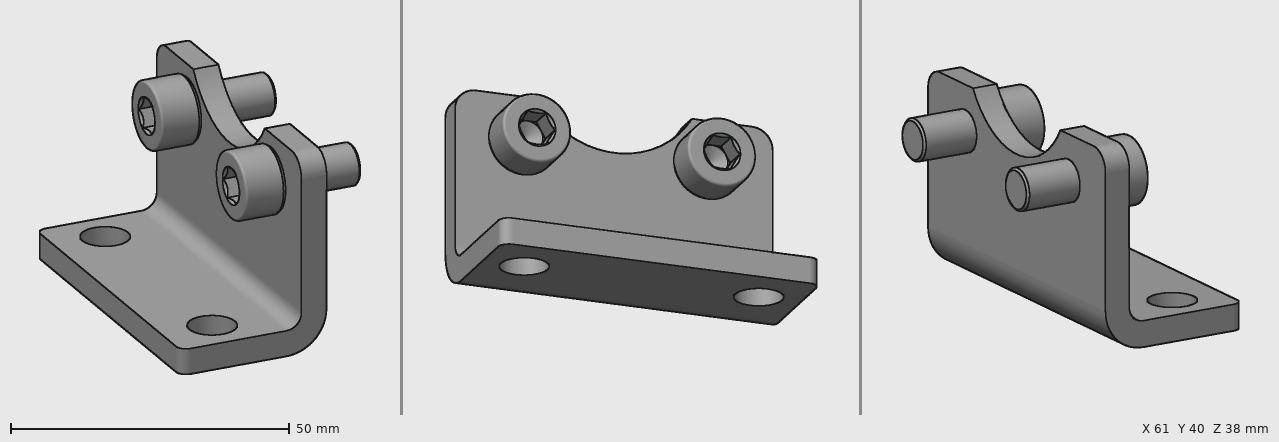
import cadquery as cq
import math

width = 61.0
height = 38.0
foot_reach = 29.0
thickness = 5.0
inner_bend_radius = 3.0
outer_bend_radius = inner_bend_radius + thickness
wall_corner_radius = 4.0
foot_corner_radius = 2.0

relief_radius = 17.5
relief_depth = 8.5

foot_hole_diameter = 9.0
foot_hole_spacing = 45.0
foot_hole_from_edge = 10.0

screw_spacing = 35.5
screw_height = height - 8.7
shank_diameter = 8.0
shank_projection = 11.05
shank_length = thickness + shank_projection
shank_chamfer = 0.4
head_diameter = 13.0
head_length = 8.0
head_edge_radius = 0.5
seat_diameter = 12.2
seat_chamfer_length = 0.6

socket_across_flats = 6.0
socket_across_corners = socket_across_flats / math.cos(math.pi / 6)
socket_depth = 5.0
socket_mouth_diameter = 7.1
socket_mouth_angle = 90.0
socket_tip_angle = 120.0


def pair_positions(spacing):
    """X positions of two features placed symmetrically about X = 0."""
    return [-spacing / 2, spacing / 2]


def make_bracket():
    """Bent plate with a rounded wall, a round relief and two foot holes."""
    profile = (
        cq.Workplane("YZ")
        .moveTo(0, height)
        .lineTo(0, outer_bend_radius)
        .radiusArc((-outer_bend_radius, 0), outer_bend_radius)
        .lineTo(-foot_reach, 0)
        .lineTo(-foot_reach, thickness)
        .lineTo(-outer_bend_radius, thickness)
        .radiusArc((-thickness, outer_bend_radius), -inner_bend_radius)
        .lineTo(-thickness, height)
        .close()
    )
    bracket = profile.extrude(width / 2, both=True)
    bracket = bracket.edges("|Y and >Z").fillet(wall_corner_radius)
    bracket = bracket.edges("|Z and <Y").fillet(foot_corner_radius)

    relief = (
        cq.Workplane("XZ")
        .center(0, height - relief_depth + relief_radius)
        .circle(relief_radius)
        .extrude(thickness)
    )
    screw_holes = (
        cq.Workplane("XZ")
        .pushPoints([(x, screw_height) for x in pair_positions(screw_spacing)])
        .circle(shank_diameter / 2)
        .extrude(thickness)
    )
    foot_hole_y = foot_hole_from_edge - foot_reach
    foot_holes = (
        cq.Workplane("XY")
        .pushPoints([(x, foot_hole_y) for x in pair_positions(foot_hole_spacing)])
        .circle(foot_hole_diameter / 2)
        .extrude(thickness)
    )
    return bracket.cut(relief).cut(screw_holes).cut(foot_holes)


def cone(large_diameter, small_diameter, length, start):
    """Cone or frustum along +Y that narrows from its start."""
    return cq.Workplane(
        cq.Solid.makeCone(
            large_diameter / 2, small_diameter / 2, length, cq.Vector(0, start, 0), cq.Vector(0, 1, 0)
        )
    )


def make_socket(mouth):
    """Hexagonal recess from Y = mouth, with a conical bottom and a countersunk mouth."""
    hexagon = (
        cq.Workplane("XZ", origin=(0, mouth, 0))
        .polygon(6, socket_across_corners)
        .extrude(-socket_depth)
    )
    tip_length = socket_across_flats / 2 / math.tan(math.radians(socket_tip_angle / 2))
    tip = cone(socket_across_flats, 0, tip_length, mouth + socket_depth)
    mouth_step = (socket_mouth_diameter - socket_across_flats) / 2
    countersink_length = mouth_step / math.tan(math.radians(socket_mouth_angle / 2))
    countersink = cone(socket_mouth_diameter, socket_across_flats, countersink_length, mouth)
    return hexagon.union(tip).union(countersink)


def make_screw(x):
    """Cap screw at the given X, with its head seated on the front of the wall."""
    seat = -thickness
    mouth = seat - head_length
    head_radius = head_diameter / 2
    shank_radius = shank_diameter / 2
    end = seat + shank_length
    half_section = (
        cq.Workplane("XY")
        .moveTo(0, mouth)
        .lineTo(head_radius - head_edge_radius, mouth)
        .radiusArc((head_radius, mouth + head_edge_radius), -head_edge_radius)
        .lineTo(head_radius, seat - seat_chamfer_length)
        .lineTo(seat_diameter / 2, seat)
        .lineTo(shank_radius, seat)
        .lineTo(shank_radius, end - shank_chamfer)
        .lineTo(shank_radius - shank_chamfer, end)
        .lineTo(0, end)
        .close()
    )
    body = half_section.revolve(360, (0, 0, 0), (0, 1, 0))
    return body.cut(make_socket(mouth)).translate((x, 0, screw_height))


bracket = make_bracket()
screws = [make_screw(x) for x in pair_positions(screw_spacing)]

result = cq.Compound.makeCompound([bracket.val(), *[screw.val() for screw in screws]])